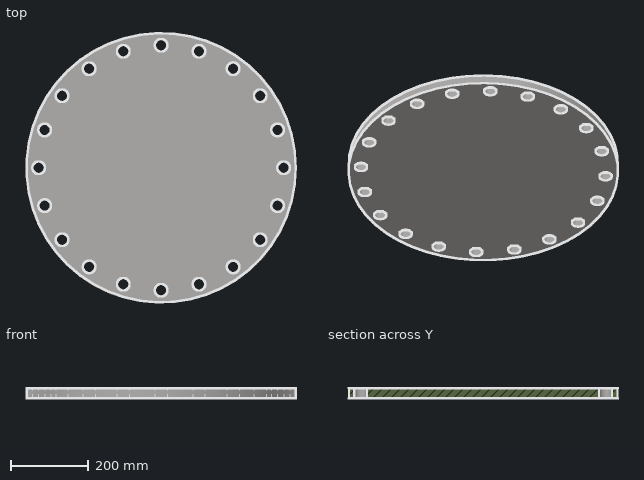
import cadquery as cq

plate_diameter = 698.0
plate_thickness = 26.5
bolt_circle_diameter = 635.0
bolt_hole_diameter = 32.0
bolt_hole_count = 20


def make_plate():
    """Flat disc standing on the XY plane, centred on Z."""
    return cq.Workplane("XY").circle(plate_diameter / 2).extrude(plate_thickness)


def cut_bolt_holes(plate):
    """Evenly spaced through holes, the first one on the +X axis."""
    return (
        plate.faces(">Z")
        .workplane()
        .polarArray(bolt_circle_diameter / 2, 0, 360, bolt_hole_count)
        .hole(bolt_hole_diameter)
    )


result = cut_bolt_holes(make_plate())